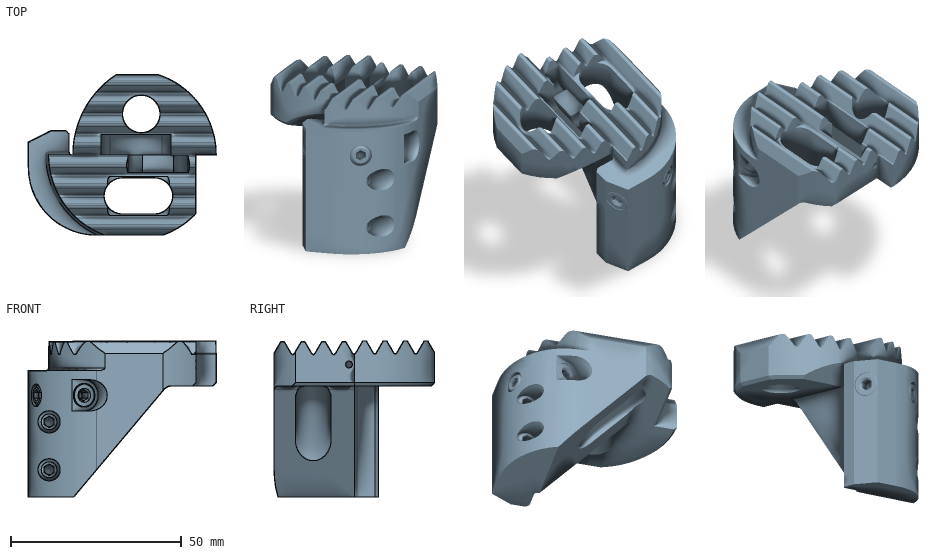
import cadquery as cq
import math

HALF_DEPTH = 23.5
PLATE_BOTTOM = 32.45
SHELF_TOP = 37.0
FRONT_TOP = 45.5
TREAD_STEP = 0.2
REAR_TOP = FRONT_TOP + TREAD_STEP
EDGE_CHAMFER = 1.0
MARGIN = 0.55
REACH = 66.05

TOOTH_PITCH = 6.0
TOOTH_FLANK = math.radians(60)
TIP_HALF_WIDTH = 0.525
TOOTH_ROUND = 0.5
TOOTH_ROWS = 10
TOOTH_HEIGHT = (TOOTH_PITCH / 2 - TIP_HALF_WIDTH) * math.tan(TOOTH_FLANK)

FRONT_CENTRE_X = 30.9
FRONT_RADIUS = 25.0
FRONT_RIGHT_X = 49.05
FOOT_FILLET = 0.8

REAR_RIGHT_CENTRE_X = 30.25
REAR_RIGHT_RADIUS = 24.75
REAR_LEFT_CENTRE_X = 41.1
REAR_LEFT_RADIUS = 28.05
UNDERCUT_START_Z = 38.6

COLUMN_RADIUS = 20.0
COLUMN_CENTRE = (COLUMN_RADIUS, COLUMN_RADIUS - HALF_DEPTH)
HOOK_FACET_LOW = (0.0, 3.75)
HOOK_FACET_HIGH = (6.6, 7.1)
HOOK_RIGHT_X = 12.0
HOOK_CHAMFER = 1.0
HOOK_BACK_Y = HOOK_FACET_HIGH[1]

SLOPE_START_X = 13.3
SLOPE_ANGLE = math.radians(50)
SLOPE_FILLET = 2.95

ROUND_HOLE_CENTRE = (33.1, 12.0)
ROUND_HOLE_DIAMETER = 10.95
SLOT_CENTRE = (32.25, -12.0)
SLOT_LENGTH = 20.05
SLOT_WIDTH = 10.5
SLOT_RECESS_LENGTH = 18.05
SLOT_RECESS_WIDTH = 12.25
SLOT_RECESS_CORNER = 1.8
SLOT_RECESS_FLOOR = 41.8

REAR_POCKET_LEFT = 21.25
REAR_POCKET_RIGHT = 41.8
REAR_POCKET_DEPTH = 5.95
POCKET_FLOOR = 33.55
REAR_POCKET_FILLET = 2.7
FRONT_POCKET_DEPTH = 5.2
GROOVE_RADIUS = 2.15
GROOVE_LEFT_X = 31.35
GROOVE_RIGHT_X = 44.7
FLARE_START_Z = 42.25
FLARE_WIDTH = 0.45
CROSS_HOLE_DIAMETER = 2.0
CROSS_HOLE_CENTRE = (-1.55, 38.8)

SET_SCREW_LENGTH = 6.0
SET_SCREW_DIAMETER = 6.5
SET_SCREW_CHAMFER = 0.95
SET_SOCKET_DEPTH = 2.75
CLAMP_SCREW_LENGTH = 8.0
CLAMP_SCREW_DIAMETER = 7.0
CLAMP_SCREW_CHAMFER = 0.2
CLAMP_SOCKET_DEPTH = 4.4
SOCKET_MOUTH_DIAMETER = 4.05
SOCKET_ACROSS_FLATS = 2.9
SOCKET_TIP_ANGLE = math.radians(30)

SCREW_HEIGHT = 29.75
SIDE_SCREW_RECESS = 0.3
SPOTFACE_DISTANCE = 28.9
SPOTFACE_RADIUS = 4.55
LOW_SCREW_X = 6.1
LOW_SCREW_FACE_Y = -13.7
LOW_SCREW_HEIGHTS = (8.0, 22.0)

FACET_ANGLE = math.atan2(
    HOOK_FACET_HIGH[1] - HOOK_FACET_LOW[1], HOOK_FACET_HIGH[0] - HOOK_FACET_LOW[0]
)
ALONG_FACET = cq.Vector(math.cos(FACET_ANGLE), math.sin(FACET_ANGLE), 0)
FACET_NORMAL = cq.Vector(-math.sin(FACET_ANGLE), math.cos(FACET_ANGLE), 0)


def arc_x(centre_x, radius, y, side):
    """X on a circle centred on the seam; side is +1 for the right and -1 for the left."""
    return centre_x + side * math.sqrt(radius**2 - y**2)


def block(x_min, x_max, y_min, y_max, z_min, z_max):
    return cq.Workplane("XY").box(
        x_max - x_min, y_max - y_min, z_max - z_min, centered=False
    ).translate((x_min, y_min, z_min))


def cylinder_y(x, z, radius, y_min, y_max):
    return cq.Workplane("XZ", origin=(x, y_min, z)).circle(radius).extrude(y_min - y_max)


def toothed_block(tip_z):
    """Long bar with trapezoid teeth on top, rounded at tips and valleys."""
    first_valley = -TOOTH_ROWS / 2 * TOOTH_PITCH
    valley_z = tip_z - TOOTH_HEIGHT
    points = [(first_valley, valley_z)]
    for row in range(TOOTH_ROWS):
        peak = first_valley + (row + 0.5) * TOOTH_PITCH
        points.append((peak - TIP_HALF_WIDTH, tip_z))
        points.append((peak + TIP_HALF_WIDTH, tip_z))
        points.append((peak + TOOTH_PITCH / 2, valley_z))
    bar = (
        cq.Workplane("YZ")
        .polyline(points)
        .lineTo(-first_valley, 0)
        .lineTo(first_valley, 0)
        .close()
        .extrude(REACH)
    )
    inner = cq.selectors.BoxSelector(
        (0, first_valley + MARGIN, valley_z - MARGIN),
        (REACH, -first_valley - MARGIN, tip_z + MARGIN),
    )
    return bar.edges("|X").edges(inner).fillet(TOOTH_ROUND)


def front_outline():
    """Plan shape of the column, its hook and the front tread, as a full-height prism."""
    diagonal = COLUMN_RADIUS * math.sqrt(0.5)
    right_y = -math.sqrt(FRONT_RADIUS**2 - (FRONT_RIGHT_X - FRONT_CENTRE_X) ** 2)
    right_mid_y = (right_y - HALF_DEPTH) / 2
    prism = (
        cq.Workplane("XY")
        .moveTo(*HOOK_FACET_LOW)
        .lineTo(*HOOK_FACET_HIGH)
        .lineTo(HOOK_RIGHT_X - HOOK_CHAMFER, HOOK_BACK_Y)
        .lineTo(HOOK_RIGHT_X, HOOK_BACK_Y - HOOK_CHAMFER)
        .lineTo(HOOK_RIGHT_X, 0)
        .lineTo(FRONT_RIGHT_X, 0)
        .lineTo(FRONT_RIGHT_X, right_y)
        .threePointArc(
            (arc_x(FRONT_CENTRE_X, FRONT_RADIUS, right_mid_y, 1), right_mid_y),
            (arc_x(FRONT_CENTRE_X, FRONT_RADIUS, HALF_DEPTH, 1), -HALF_DEPTH),
        )
        .lineTo(COLUMN_CENTRE[0], -HALF_DEPTH)
        .threePointArc(
            (COLUMN_CENTRE[0] - diagonal, COLUMN_CENTRE[1] - diagonal), (0, COLUMN_CENTRE[1])
        )
        .close()
        .extrude(REAR_TOP)
    )
    hook_corner = cq.selectors.NearestToPointSelector((HOOK_RIGHT_X, 0, REAR_TOP / 2))
    return prism.edges("|Z").edges(hook_corner).fillet(FOOT_FILLET)


def shelf_and_pad():
    """Wide shelf slab with the raised pad on it and a fillet round the pad's foot."""
    left_x = FRONT_CENTRE_X - FRONT_RADIUS
    diagonal = FRONT_RADIUS * math.sqrt(0.5)
    pad = (
        cq.Workplane("XY")
        .moveTo(left_x, 0)
        .threePointArc(
            (FRONT_CENTRE_X - diagonal, -diagonal), (FRONT_CENTRE_X, -FRONT_RADIUS)
        )
        .lineTo(REACH, -FRONT_RADIUS)
        .lineTo(REACH, 0)
        .close()
        .extrude(REAR_TOP)
    )
    slab = block(-REACH, REACH, -REACH, REACH, 0, SHELF_TOP)
    foot_zone = cq.selectors.BoxSelector(
        (0, -FRONT_RADIUS, SHELF_TOP - MARGIN), (REACH - MARGIN, MARGIN, SHELF_TOP + MARGIN)
    )
    return slab.union(pad).edges(foot_zone).fillet(FOOT_FILLET)


def slope_cutter():
    """Everything below the slope and the flat underside of the plate."""
    corner_x = SLOPE_START_X + PLATE_BOTTOM / math.tan(SLOPE_ANGLE)
    cutter = (
        cq.Workplane("XZ", origin=(0, REACH / 2, 0))
        .polyline([
            (SLOPE_START_X, 0), (corner_x, PLATE_BOTTOM), (REACH, PLATE_BOTTOM), (REACH, 0),
        ])
        .close()
        .extrude(REACH)
    )
    corner = cq.selectors.NearestToPointSelector((corner_x, 0, PLATE_BOTTOM))
    return cutter.edges("|Y").edges(corner).fillet(SLOPE_FILLET)


def front_part():
    """Column, hook, sloping bracket and front tread."""
    body = front_outline().intersect(shelf_and_pad())
    body = body.cut(slope_cutter())
    body = body.edges("|Y").edges(
        cq.selectors.NearestToPointSelector((FRONT_RIGHT_X, -HALF_DEPTH / 2, PLATE_BOTTOM))
    ).chamfer(EDGE_CHAMFER)
    return body.intersect(toothed_block(FRONT_TOP))


def rear_part():
    """Rear tread with its chamfered lower edge and 45 degree undercut."""
    mid_y = HALF_DEPTH / 2
    left_x = REAR_LEFT_CENTRE_X - REAR_LEFT_RADIUS
    tread = (
        cq.Workplane("XY", origin=(0, 0, PLATE_BOTTOM))
        .moveTo(left_x, 0)
        .threePointArc(
            (arc_x(REAR_LEFT_CENTRE_X, REAR_LEFT_RADIUS, mid_y, -1), mid_y),
            (arc_x(REAR_LEFT_CENTRE_X, REAR_LEFT_RADIUS, HALF_DEPTH, -1), HALF_DEPTH),
        )
        .lineTo(arc_x(REAR_RIGHT_CENTRE_X, REAR_RIGHT_RADIUS, HALF_DEPTH, 1), HALF_DEPTH)
        .threePointArc(
            (arc_x(REAR_RIGHT_CENTRE_X, REAR_RIGHT_RADIUS, mid_y, 1), mid_y),
            (REAR_RIGHT_CENTRE_X + REAR_RIGHT_RADIUS, 0),
        )
        .close()
        .extrude(REAR_TOP - PLATE_BOTTOM)
    )
    tread = tread.faces("<Z").edges("not <Y").chamfer(EDGE_CHAMFER)
    undercut = (
        cq.Workplane("XZ")
        .polyline([(left_x, 0), (left_x, UNDERCUT_START_Z), (left_x + UNDERCUT_START_Z, 0)])
        .close()
        .extrude(-HALF_DEPTH)
    )
    return tread.cut(undercut).intersect(toothed_block(REAR_TOP))


def tread_openings():
    """Round hole in the rear tread, recessed slot in the front tread."""
    hole = cq.Workplane("XY").center(*ROUND_HOLE_CENTRE).circle(ROUND_HOLE_DIAMETER / 2).extrude(REACH)
    slot = cq.Workplane("XY").center(*SLOT_CENTRE).slot2D(SLOT_LENGTH, SLOT_WIDTH).extrude(REACH)
    recess = (
        cq.Workplane("XY", origin=(0, 0, SLOT_RECESS_FLOOR))
        .center(*SLOT_CENTRE)
        .rect(SLOT_RECESS_LENGTH, SLOT_RECESS_WIDTH)
        .extrude(REACH)
        .edges("|Z")
        .fillet(SLOT_RECESS_CORNER)
    )
    return hole.union(slot).union(recess)


def rear_pocket():
    pocket = block(REAR_POCKET_LEFT, REAR_POCKET_RIGHT, 0, REAR_POCKET_DEPTH, POCKET_FLOOR, REACH)
    return pocket.faces("<Z").edges("|Y").fillet(REAR_POCKET_FILLET)


def front_pocket():
    """Pocket between two round-bottomed grooves, flared at the top, with a small cross hole."""
    groove_z = POCKET_FLOOR + GROOVE_RADIUS
    left_x = GROOVE_LEFT_X - GROOVE_RADIUS
    right_x = GROOVE_RIGHT_X + GROOVE_RADIUS
    pocket = (
        cq.Workplane("XZ")
        .polyline([
            (left_x, groove_z),
            (left_x, FLARE_START_Z),
            (left_x - FLARE_WIDTH, FRONT_TOP),
            (right_x + FLARE_WIDTH, FRONT_TOP),
            (right_x, FLARE_START_Z),
            (right_x, groove_z),
        ])
        .close()
        .extrude(FRONT_POCKET_DEPTH)
    )
    for groove_x in (GROOVE_LEFT_X, GROOVE_RIGHT_X):
        pocket = pocket.union(cylinder_y(groove_x, groove_z, GROOVE_RADIUS, -FRONT_POCKET_DEPTH, 0))
    cross_hole = (
        cq.Workplane("YZ", origin=(GROOVE_RIGHT_X, 0, 0))
        .center(*CROSS_HOLE_CENTRE)
        .circle(CROSS_HOLE_DIAMETER / 2)
        .extrude(FRONT_RIGHT_X - GROOVE_RIGHT_X)
    )
    return pocket.union(cross_hole)


def face_plane(centre, outward):
    """Plane of a screw's outer face: local X points up, local Z points out of the part."""
    return cq.Plane(origin=centre.toTuple(), xDir=(0, 0, 1), normal=outward.toTuple())


def chamfered_cylinder(plane, diameter, length, chamfer):
    """Screw body that runs inward from its face, with a chamfered outer rim."""
    body = cq.Workplane(plane).circle(diameter / 2).extrude(-length)
    outer_face = cq.selectors.NearestToPointSelector(plane.origin.toTuple())
    return body.faces(outer_face).edges().chamfer(chamfer)


def hex_socket(plane, depth):
    """Hexagon socket with a drilled, conical bottom."""
    inner_radius = SOCKET_ACROSS_FLATS / 2
    corner_diameter = SOCKET_ACROSS_FLATS / math.cos(math.pi / 6)
    hexagon = cq.Workplane(plane).polygon(6, corner_diameter).extrude(-depth)
    tip = cq.Solid.makeCone(
        inner_radius,
        0,
        inner_radius * math.tan(SOCKET_TIP_ANGLE),
        pnt=plane.origin - plane.zDir * depth,
        dir=plane.zDir * -1,
    )
    return hexagon.union(cq.Workplane(tip))


def set_screw(plane):
    """Headless screw with a broad end chamfer."""
    screw = chamfered_cylinder(plane, SET_SCREW_DIAMETER, SET_SCREW_LENGTH, SET_SCREW_CHAMFER)
    return screw.cut(hex_socket(plane, SET_SOCKET_DEPTH))


def clamp_screw(plane):
    """Larger screw with a fine rim chamfer and a countersunk socket."""
    screw = chamfered_cylinder(
        plane, CLAMP_SCREW_DIAMETER, CLAMP_SCREW_LENGTH, CLAMP_SCREW_CHAMFER
    )
    mouth_radius = SOCKET_MOUTH_DIAMETER / 2
    countersink = cq.Workplane(plane).circle(mouth_radius).extrude(-mouth_radius, taper=45)
    return screw.cut(hex_socket(plane, CLAMP_SOCKET_DEPTH)).cut(countersink)


def screw_hole(plane, diameter, length):
    """Hole that holds one screw and runs out to the surface beyond its face."""
    return (
        cq.Workplane(plane)
        .workplane(offset=-length)
        .circle(diameter / 2)
        .extrude(length + COLUMN_RADIUS)
    )


def spotface(plane):
    """Flat seat with a round right end, open on the left, where the plane's local Y points."""
    seat = cq.Workplane(plane).circle(SPOTFACE_RADIUS).extrude(COLUMN_RADIUS)
    open_side = (
        cq.Workplane(plane)
        .center(0, COLUMN_RADIUS / 2)
        .rect(2 * SPOTFACE_RADIUS, COLUMN_RADIUS)
        .extrude(COLUMN_RADIUS)
    )
    return seat.union(open_side)


facet_middle = cq.Vector(
    (HOOK_FACET_LOW[0] + HOOK_FACET_HIGH[0]) / 2,
    (HOOK_FACET_LOW[1] + HOOK_FACET_HIGH[1]) / 2,
    SCREW_HEIGHT,
)
facet_plane = face_plane(facet_middle, FACET_NORMAL)
spotface_plane = face_plane(facet_middle - FACET_NORMAL * SPOTFACE_DISTANCE, -FACET_NORMAL)
column_axis = cq.Vector(COLUMN_CENTRE[0], COLUMN_CENTRE[1], SCREW_HEIGHT)
side_plane = face_plane(column_axis - ALONG_FACET * (COLUMN_RADIUS - SIDE_SCREW_RECESS), -ALONG_FACET)
low_planes = [
    face_plane(cq.Vector(LOW_SCREW_X, LOW_SCREW_FACE_Y, height), cq.Vector(0, -1, 0))
    for height in LOW_SCREW_HEIGHTS
]
clamp_planes = [facet_plane, spotface_plane]
set_screw_planes = [side_plane] + low_planes

pedal = front_part().union(rear_part())
pedal = pedal.cut(tread_openings()).cut(rear_pocket()).cut(front_pocket())
pedal = pedal.cut(spotface(spotface_plane))
for plane in clamp_planes:
    pedal = pedal.cut(screw_hole(plane, CLAMP_SCREW_DIAMETER, CLAMP_SCREW_LENGTH))
for plane in set_screw_planes:
    pedal = pedal.cut(screw_hole(plane, SET_SCREW_DIAMETER, SET_SCREW_LENGTH))

clamp_screws = [clamp_screw(plane).val() for plane in clamp_planes]
set_screws = [set_screw(plane).val() for plane in set_screw_planes]

result = cq.Compound.makeCompound([pedal.val(), *clamp_screws, *set_screws])